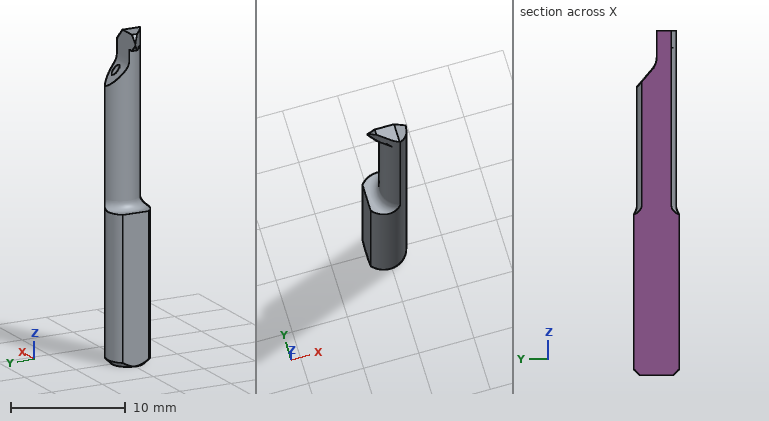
import cadquery as cq
import math

length = 30.0
shank_diameter = 4.0
shank_radius = shank_diameter / 2
width_across_flat = 3.55
flat_x = shank_radius - width_across_flat
base_chamfer = 0.5

neck_radius = 1.77
neck_center_x = 1.4
shoulder_z = 13.98
shoulder_fillet = 0.8

relief_foot_z = 25.02
relief_angle = math.radians(49.5)
relief_bend_radius = 1.5

nose_x = -1.47
nose_width = 0.18
nose_bevel = 0.65
tip_chamfer = 1.05

hole_diameter = 0.7
hole_x = 1.08
hole_y = 0.6

margin = 1.5


def make_shank():
    """Full-length round bar with a chamfered base and one side flat."""
    bar = cq.Workplane("XY").circle(shank_radius).extrude(length)
    bar = bar.faces("<Z").chamfer(base_chamfer)
    flat_cut = cq.Workplane("XY").box(
        2 * shank_radius, 4 * shank_radius, 3 * length
    ).translate((flat_x - shank_radius, 0, 0))
    return bar.cut(flat_cut)


def make_neck_cutter():
    """Ring around the neck, with a concave fillet at the shoulder."""
    outer_radius = 3 * shank_radius
    fillet_outer = neck_radius + shoulder_fillet
    fillet_top_z = shoulder_z + shoulder_fillet
    diagonal = shoulder_fillet * math.sqrt(0.5)
    return (
        cq.Workplane("XZ")
        .moveTo(neck_radius, length + margin)
        .lineTo(neck_radius, fillet_top_z)
        .threePointArc(
            (fillet_outer - diagonal, fillet_top_z - diagonal),
            (fillet_outer, shoulder_z),
        )
        .lineTo(outer_radius, shoulder_z)
        .lineTo(outer_radius, length + margin)
        .close()
        .revolve(360, (0, 0, 0), (0, 1, 0))
        .translate((neck_center_x, 0, 0))
    )


def make_head():
    """Beveled nose profile, bounded by the sloping flank and the shank."""
    head_bottom_z = length - 2 * nose_bevel - nose_width
    bevel_end_x = nose_x + nose_bevel
    profile = (
        cq.Workplane("XZ")
        .moveTo(neck_center_x, length)
        .lineTo(bevel_end_x, length)
        .lineTo(nose_x, length - nose_bevel)
        .lineTo(nose_x, head_bottom_z + nose_bevel)
        .lineTo(bevel_end_x, head_bottom_z)
        .lineTo(neck_center_x, head_bottom_z)
        .close()
        .extrude(shank_radius)
    )
    flank_angle = math.asin(neck_radius / (neck_center_x - nose_x))
    tangent_x = neck_center_x - neck_radius * math.sin(flank_angle)
    tangent_y = -neck_radius * math.cos(flank_angle)
    envelope = (
        cq.Workplane("XY")
        .moveTo(nose_x, 0)
        .lineTo(tangent_x, tangent_y)
        .lineTo(neck_center_x, 0)
        .close()
        .extrude(length)
    )
    return profile.intersect(envelope)


def make_relief_cutter():
    """Remove the back half near the tip, down a rounded bend and a slope."""
    slope = math.tan(relief_angle)
    bend_z = relief_foot_z + neck_radius * slope
    outer_y = neck_radius + margin
    block = (
        cq.Workplane("YZ")
        .moveTo(0, length + margin)
        .lineTo(0, bend_z)
        .lineTo(outer_y, bend_z - outer_y * slope)
        .lineTo(outer_y, length + margin)
        .close()
        .extrude(2 * shank_radius, both=True)
    )
    bend_edge = cq.selectors.NearestToPointSelector((0, 0, bend_z))
    return block.edges(bend_edge).fillet(relief_bend_radius)


def make_tip_chamfer_cutter():
    """Wedge across the top, on the side away from the nose."""
    return (
        cq.Workplane("XZ")
        .moveTo(shank_radius - tip_chamfer, length)
        .lineTo(shank_radius, length - tip_chamfer)
        .lineTo(shank_radius, length)
        .close()
        .extrude(2 * shank_radius, both=True)
    )


coolant_hole = (
    cq.Workplane("XY").center(hole_x, hole_y).circle(hole_diameter / 2).extrude(length)
)

result = (
    make_shank()
    .cut(make_neck_cutter())
    .cut(make_relief_cutter())
    .union(make_head())
    .cut(make_tip_chamfer_cutter())
    .cut(coolant_hole)
)